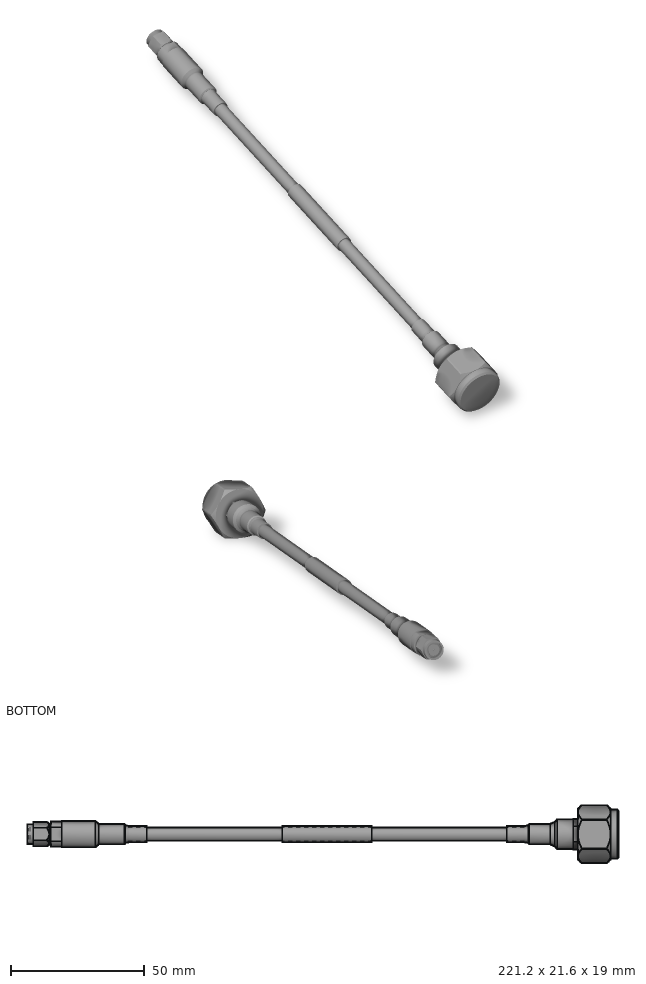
import cadquery as cq
import math

TOTAL_LENGTH = 221.2

CABLE_RADIUS = 2.55
LABEL_RADIUS = 3.0
LABEL_START = 95.3
LABEL_END = 128.7
BOOT_RADIUS = 3.0
BOOT_FLARE_RADIUS = 3.3
BOOT_LENGTH = 8.0
BOOT_FLARE_LENGTH = 1.3

BARREL_RADIUS = 3.87
BARREL_CHAMFER = 0.5

SMALL_TIP_RADIUS = 3.8
SMALL_HEX_START = 2.2
SMALL_HEX_END = 8.2
SMALL_HEX_ACROSS_FLATS = 8.0
SMALL_HEX_CHAMFER = 0.9
SMALL_BODY_START = 8.8
SMALL_BODY_RADIUS = 4.98
SMALL_SHOULDER_START = 25.5
SMALL_SHOULDER_END = 26.8
SMALL_BARREL_END = 36.7
WRENCH_FLATS_END = 12.8
WRENCH_FLATS_SPACING = 8.0
WRENCH_COLLAR_RADIUS = 4.75
SOCKET_RADIUS = 3.0
SOCKET_DEPTH = 0.9
INSULATOR_RADIUS = 2.2
INSULATOR_HEIGHT = 0.5
PIN_RADIUS = 0.5

LARGE_BARREL_START = 187.3
LARGE_CONE_START = 195.5
LARGE_CONE_END = 197.3
LARGE_CONE_END_RADIUS = 4.6
LARGE_RING_START = 198.2
LARGE_RING_END = 204.1
LARGE_RING_RADIUS = 5.65
NECK_ACROSS_FLATS = 10.0
LARGE_HEX_START = 206.0
LARGE_HEX_END = 218.0
LARGE_HEX_ACROSS_FLATS = 19.0
LARGE_HEX_CORNER_RADIUS = 10.8
LARGE_HEX_CHAMFER = 1.3
LARGE_TIP_RADIUS = 9.3
LARGE_TIP_CHAMFER = 0.7


def revolve_profile(points):
    """Revolve an outline of (x, radius) points, closed along the axis, about the X axis."""
    first_x = points[0][0]
    last_x = points[-1][0]
    outline = [(first_x, 0), *points, (last_x, 0)]
    return cq.Workplane("XY").polyline(outline).close().revolve(360, (0, 0, 0), (1, 0, 0))


def cylinder(start, end, radius):
    return revolve_profile([(start, radius), (end, radius)])


def hex_prism(start, end, across_flats):
    """Hexagonal prism along X with two flats facing up and down."""
    across_corners = across_flats / math.cos(math.pi / 6)
    return cq.Workplane("YZ", origin=(start, 0, 0)).polygon(6, across_corners).extrude(end - start)


def make_cable():
    return cylinder(SMALL_BARREL_END, LARGE_BARREL_START, CABLE_RADIUS)


def make_label():
    return cylinder(LABEL_START, LABEL_END, LABEL_RADIUS).cut(cable)


def make_boot(barrel_face, direction):
    """Sleeve that flares toward the barrel face and runs along the cable in the given X direction."""
    flare_end = barrel_face + direction * BOOT_FLARE_LENGTH
    boot_end = barrel_face + direction * BOOT_LENGTH
    sleeve = revolve_profile([
        (barrel_face, BOOT_FLARE_RADIUS),
        (flare_end, BOOT_RADIUS),
        (boot_end, BOOT_RADIUS),
    ])
    return sleeve.cut(cable)


def small_hex_nut():
    """Hex nut whose corners are bevelled on the side facing the body."""
    flat_radius = SMALL_HEX_ACROSS_FLATS / 2
    corner_radius = flat_radius / math.cos(math.pi / 6)
    bevel = revolve_profile([
        (SMALL_HEX_START, corner_radius),
        (SMALL_HEX_END - SMALL_HEX_CHAMFER, corner_radius),
        (SMALL_HEX_END, flat_radius),
    ])
    return hex_prism(SMALL_HEX_START, SMALL_HEX_END, SMALL_HEX_ACROSS_FLATS).intersect(bevel)


def cut_wrench_flats(body):
    """Cut a flat on the top and on the bottom of the collar beside the nut."""
    flats_length = WRENCH_FLATS_END - SMALL_BODY_START
    flats_middle = (SMALL_BODY_START + WRENCH_FLATS_END) / 2
    width = 2 * SMALL_BODY_RADIUS
    for side in (1, -1):
        block_z = side * (WRENCH_FLATS_SPACING + width) / 2
        block = cq.Workplane("XY").box(flats_length, width, width)
        body = body.cut(block.translate((flats_middle, 0, block_z)))
    return body


def make_small_connector():
    body = revolve_profile([
        (SMALL_BODY_START, WRENCH_COLLAR_RADIUS),
        (WRENCH_FLATS_END, WRENCH_COLLAR_RADIUS),
        (WRENCH_FLATS_END, SMALL_BODY_RADIUS),
        (SMALL_SHOULDER_START, SMALL_BODY_RADIUS),
        (SMALL_SHOULDER_END, BARREL_RADIUS),
        (SMALL_BARREL_END - BARREL_CHAMFER, BARREL_RADIUS),
        (SMALL_BARREL_END, BARREL_RADIUS - BARREL_CHAMFER),
    ])
    tip = cylinder(0, SMALL_BODY_START, SMALL_TIP_RADIUS)
    connector = cut_wrench_flats(body).union(small_hex_nut()).union(tip)
    insulator = cylinder(SOCKET_DEPTH - INSULATOR_HEIGHT, SOCKET_DEPTH, INSULATOR_RADIUS)
    pin = cylinder(0, SOCKET_DEPTH, PIN_RADIUS)
    return connector.cut(cylinder(0, SOCKET_DEPTH, SOCKET_RADIUS)).union(insulator).union(pin)


def large_hex_nut():
    """Hex nut with bevelled corners at both ends and slightly blunted corners."""
    flat_radius = LARGE_HEX_ACROSS_FLATS / 2
    bevel = revolve_profile([
        (LARGE_HEX_START, flat_radius),
        (LARGE_HEX_START + LARGE_HEX_CHAMFER, LARGE_HEX_CORNER_RADIUS),
        (LARGE_HEX_END - LARGE_HEX_CHAMFER, LARGE_HEX_CORNER_RADIUS),
        (LARGE_HEX_END, flat_radius),
    ])
    return hex_prism(LARGE_HEX_START, LARGE_HEX_END, LARGE_HEX_ACROSS_FLATS).intersect(bevel)


def make_large_connector():
    body = revolve_profile([
        (LARGE_BARREL_START, BARREL_RADIUS - BARREL_CHAMFER),
        (LARGE_BARREL_START + BARREL_CHAMFER, BARREL_RADIUS),
        (LARGE_CONE_START, BARREL_RADIUS),
        (LARGE_CONE_END, LARGE_CONE_END_RADIUS),
        (LARGE_RING_START, LARGE_RING_RADIUS),
        (LARGE_RING_END, LARGE_RING_RADIUS),
    ])
    neck = hex_prism(LARGE_RING_END, LARGE_HEX_START, NECK_ACROSS_FLATS)
    tip = revolve_profile([
        (LARGE_HEX_END, LARGE_TIP_RADIUS),
        (TOTAL_LENGTH - LARGE_TIP_CHAMFER, LARGE_TIP_RADIUS),
        (TOTAL_LENGTH, LARGE_TIP_RADIUS - LARGE_TIP_CHAMFER),
    ])
    return body.union(neck).union(large_hex_nut()).union(tip)


cable = make_cable()
label = make_label()
boots = [make_boot(face, direction) for face, direction in ((SMALL_BARREL_END, 1), (LARGE_BARREL_START, -1))]
small_connector = make_small_connector()
large_connector = make_large_connector()

result = cq.Compound.makeCompound([
    cable.val(),
    label.val(),
    *[boot.val() for boot in boots],
    small_connector.val(),
    large_connector.val(),
])